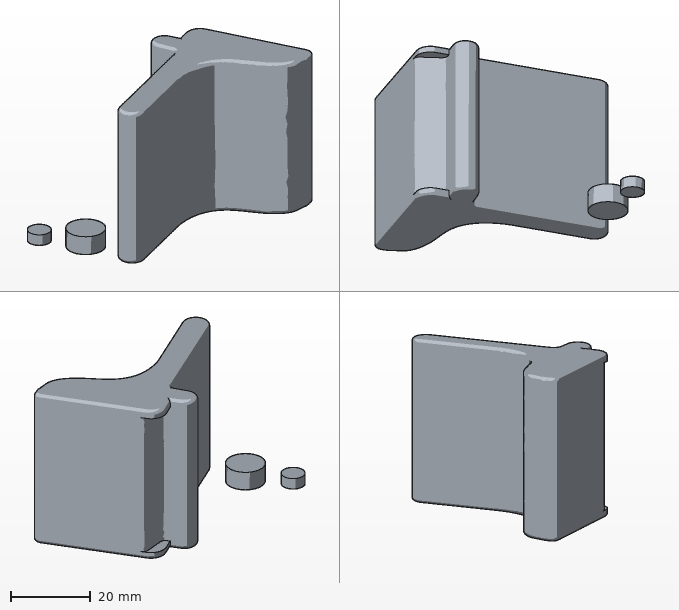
import cadquery as cq

height = 42.0
depth = 52.15
stem_width = 7.05
stem_half = stem_width / 2
edge_radius = 1.0
rim_height = 2 * edge_radius

head_left = -5.85
head_corner = 4.0
tip_x = 27.95
tip_round = 2.15
tip_corner_x = tip_x - tip_round
tip_corner_y = depth - tip_round
tip_mid = (tip_x - 0.6, depth - 0.6)
neck_start_y = 23.85
neck_points = [
    (4.0, 28.1),
    (5.6, 32.55),
    (8.5, 35.95),
    (11.8, 37.7),
    (16.4, 38.75),
    (21.4, 40.05),
    (24.85, 41.95),
    (26.6, 44.2),
    (27.55, 47.3),
    (tip_x, tip_corner_y),
]

lug_left = -11.85
lug_top = 44.7
lug_radius = 3.4
lug_center_x = lug_left + lug_radius
lug_center_y = lug_top - lug_radius
lug_bottom = lug_top - 2 * lug_radius
lug_root_x = -5.0
lug_root_y = 37.75
root_fillet_end_y = 36.35
root_fillet_mid = (-3.95, 37.3)

recess_depth = 2.5
recess_slope_run = 1.25
recess_round = 1.7

large_disc = (10.0, 5.0, -18.45)
small_disc = (6.0, 3.0, -28.3)


def make_clip():
    corner_mid = head_corner * (1 - 0.5 ** 0.5)
    outline = (
        cq.Workplane("XY")
        .moveTo(-stem_half, stem_half)
        .threePointArc((0, 0), (stem_half, stem_half))
        .lineTo(stem_half, neck_start_y)
        .spline(neck_points, tangents=[(0, 1), (0, 1)], includeCurrent=True)
        .threePointArc(tip_mid, (tip_corner_x, depth))
        .lineTo(head_left + head_corner, depth)
        .threePointArc(
            (head_left + corner_mid, depth - corner_mid),
            (head_left, depth - head_corner),
        )
        .lineTo(head_left, lug_top)
        .lineTo(lug_center_x, lug_top)
        .threePointArc((lug_left, lug_center_y), (lug_center_x, lug_bottom))
        .lineTo(lug_root_x, lug_root_y)
        .threePointArc(root_fillet_mid, (-stem_half, root_fillet_end_y))
        .close()
    )
    body = outline.extrude(height).faces("<Z or >Z").edges().fillet(edge_radius)
    return body.cut(make_head_recess())


def make_head_recess():
    inner_x = head_left + recess_depth
    outline = (
        cq.Workplane("XY")
        .workplane(offset=rim_height)
        .moveTo(head_left, lug_top)
        .lineTo(inner_x - recess_round, lug_top)
        .spline(
            [
                (inner_x, lug_top + recess_round),
                (inner_x + recess_slope_run, depth - recess_round),
                (inner_x + recess_slope_run + recess_round, depth),
            ],
            tangents=[(1, 0), (1, 0)],
            includeCurrent=True,
        )
        .lineTo(head_left, depth)
        .close()
    )
    return outline.extrude(height - 2 * rim_height)


def make_disc(diameter, thickness, left):
    radius = diameter / 2
    return cq.Workplane("XY").center(left + radius, radius).circle(radius).extrude(thickness)


clip = make_clip()
discs = [make_disc(*sizes) for sizes in (large_disc, small_disc)]

result = cq.Compound.makeCompound([clip.val(), *[disc.val() for disc in discs]])